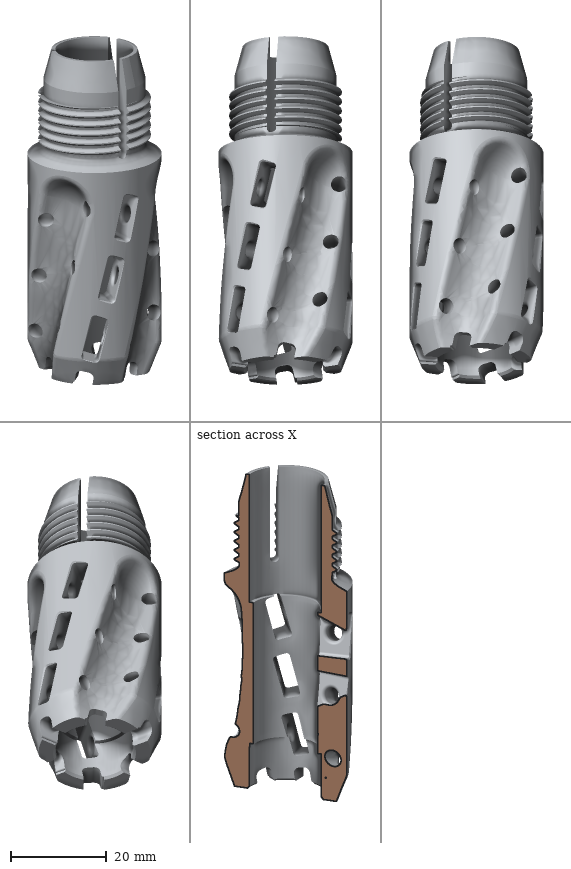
import cadquery as cq
import math

total_height = 69.71
nose_corner_z = 6.05
body_top_z = 47.0
neck_bottom_z = 49.0
shoulder_root_z = 48.4
cone_start_z = 63.4
upper_counterbore_z = 41.4
lower_counterbore_z = 10.0

body_radius = 14.0
nose_end_radius = 11.65
nose_round_radius = 2.0
shoulder_root_radius = 11.15
neck_radius = 10.67
tip_radius = 9.0
middle_bore_radius = 14.5 / 2
end_bore_radius = 16.3 / 2
bore_bottom_chamfer = 0.5

thread_pitch = 2.0
thread_outer_radius = 11.75
thread_bottom_z = 49.9
thread_top_z = 60.2
thread_crest_width = thread_pitch / 8
thread_crest_z = 55.9
thread_crest_angle = 180.0
thread_turns_below_crest = 4
thread_root_overlap = 0.1
thread_flank_slope = math.tan(math.radians(30))

slot_width = 2.0
slot_end_z = 49.6
slot_angle = 220.0

copies = 3
copy_step = 360.0 / copies
helix_angle = 15.0
twist_per_mm = math.degrees(math.tan(math.radians(helix_angle)) / body_radius)
land_angle_at_base = 175.85
gullet_angle_at_base = land_angle_at_base + copy_step / 2

gullet_ball_radius = 6.5
gullet_floor_radius = 9.8
gullet_end_z = 38.8
gullet_edge_round = 1.5

window_heights = (10.6, 23.6, 36.6)
window_width = 3.6
window_length = 9.7
window_corner_radius = 0.7
window_rim_flare = 0.3

cross_hole_diameter = 3.3
cross_hole_offset = 10.0
cross_hole_length = 20.0
cross_hole_rim_round = 0.8

notch_width = 3.8
notch_height = 3.25
notch_corner_radius = 1.3
notch_mouth_round = 0.4
notch_tilt = 12.0
notch_angle = 175.2

shoulder_direction = (-2, 1)

margin = 1.0
flat_edge_height = 0.3


def cut_copies(body, cutter, count=copies):
    """Cut evenly spaced copies of one solid, or of several, around Z."""
    turned = []
    for solid in cutter.vals():
        for i in range(count):
            turned.append(solid.rotate((0, 0, 0), (0, 0, 1), i * 360.0 / count))
    return body.newObject([body.val().cut(*turned)])


def land_angle(z):
    """Angle around Z of a land's middle at height z."""
    return land_angle_at_base + twist_per_mm * z


def outward_plane(angle, z, tilt):
    """Plane on the axis facing outward; local Y is Z leaned toward larger angles by tilt degrees."""
    a = math.radians(angle)
    t = math.radians(tilt)
    outward = (math.cos(a), math.sin(a), 0)
    sideways = (-math.sin(a) * math.cos(t), math.cos(a) * math.cos(t), -math.sin(t))
    return cq.Plane(origin=(0, 0, z), xDir=sideways, normal=outward)


def blank():
    """Solid of revolution with a swept shoulder and a rounded nose corner."""
    solid = (
        cq.Workplane("XZ")
        .moveTo(0, 0)
        .lineTo(nose_end_radius, 0)
        .lineTo(body_radius, nose_corner_z)
        .lineTo(body_radius, body_top_z)
        .spline(
            [
                (shoulder_root_radius, shoulder_root_z),
                (neck_radius, neck_bottom_z),
                (neck_radius, thread_bottom_z),
            ],
            tangents=[shoulder_direction, (0, 1)],
            includeCurrent=True,
        )
        .lineTo(neck_radius, cone_start_z)
        .lineTo(tip_radius, total_height)
        .lineTo(0, total_height)
        .close()
        .revolve(360, (0, 0, 0), (0, 1, 0))
    )
    nose_edge = cq.selectors.BoxSelector(
        (-body_radius * 2, -body_radius * 2, nose_corner_z - margin / 2),
        (body_radius * 2, body_radius * 2, nose_corner_z + margin / 2),
        boundingbox=True,
    )
    return solid.edges(nose_edge).fillet(nose_round_radius)


def gullet():
    """Ball-ended groove following the helix down past the bottom rim."""
    path_radius = gullet_floor_radius + gullet_ball_radius
    path_pitch = 360.0 / twist_per_mm
    start_z = -gullet_ball_radius
    path = cq.Wire.makeHelix(path_pitch, gullet_end_z - start_z, path_radius)
    climb = path_pitch / (2 * math.pi)
    start = cq.Plane(origin=(path_radius, 0, 0), xDir=(1, 0, 0), normal=(0, path_radius, climb))
    groove = cq.Workplane(start).circle(gullet_ball_radius).sweep(path, isFrenet=True)
    groove = groove.rotate((0, 0, 0), (0, 0, 1), gullet_angle_at_base + twist_per_mm * start_z)
    groove = groove.translate((0, 0, start_z))
    end_angle = gullet_angle_at_base + twist_per_mm * gullet_end_z
    ball = cq.Workplane(outward_plane(end_angle, gullet_end_z, helix_angle)).workplane(offset=path_radius)
    ball = ball.sphere(gullet_ball_radius)
    return groove, ball


def thread():
    """Helical ridge with its ends cut square to the axis."""
    start_z = thread_crest_z - thread_turns_below_crest * thread_pitch
    length = thread_top_z + thread_pitch - start_z
    root_radius = neck_radius - thread_root_overlap
    crest_half = thread_crest_width / 2
    root_half = crest_half + (thread_outer_radius - root_radius) * thread_flank_slope
    path = cq.Wire.makeHelix(thread_pitch, length, neck_radius)
    ridge = (
        cq.Workplane("XZ")
        .polyline(
            [
                (root_radius, -root_half),
                (thread_outer_radius, -crest_half),
                (thread_outer_radius, crest_half),
                (root_radius, root_half),
            ]
        )
        .close()
        .sweep(path, isFrenet=True)
    )
    ridge = ridge.rotate((0, 0, 0), (0, 0, 1), thread_crest_angle).translate((0, 0, start_z))
    span = cq.Workplane("XY", origin=(0, 0, thread_bottom_z)).circle(body_radius)
    return ridge.intersect(span.extrude(thread_top_z - thread_bottom_z))


def bore():
    """Stepped through bore, wider at both ends, with a chamfered bottom rim."""
    return (
        cq.Workplane("XZ")
        .moveTo(0, 0)
        .lineTo(end_bore_radius + bore_bottom_chamfer, 0)
        .lineTo(end_bore_radius, bore_bottom_chamfer)
        .lineTo(end_bore_radius, lower_counterbore_z)
        .lineTo(middle_bore_radius, lower_counterbore_z)
        .lineTo(middle_bore_radius, upper_counterbore_z)
        .lineTo(end_bore_radius, upper_counterbore_z)
        .lineTo(end_bore_radius, total_height)
        .lineTo(0, total_height)
        .close()
        .revolve(360, (0, 0, 0), (0, 1, 0))
    )


def neck_slot():
    """Radial slot, open at the top, with a round lower end."""
    half = slot_width / 2
    rise = total_height + margin - slot_end_z
    return (
        cq.Workplane(outward_plane(slot_angle, slot_end_z, 0))
        .moveTo(-half, rise)
        .lineTo(-half, 0)
        .threePointArc((0, -half), (half, 0))
        .lineTo(half, rise)
        .close()
        .extrude(body_radius)
    )


def window(z):
    """Rounded rectangular opening from the bore to the outside of a land, with a flared rim."""
    plane = outward_plane(land_angle(z), z, helix_angle)
    sketch = cq.Sketch().rect(window_width, window_length).vertices().fillet(window_corner_radius)
    opening = cq.Workplane(plane).placeSketch(sketch).extrude(body_radius)
    rim = cq.Workplane(plane).workplane(offset=body_radius - window_rim_flare)
    rim = rim.placeSketch(sketch).extrude(2 * window_rim_flare, taper=-45)
    return opening.union(rim)


def cross_hole(z):
    """Hole square to a window's long sides, opening into both gullets, with rounded rims in the window."""
    plane = outward_plane(land_angle(z), z, helix_angle)
    radius = cross_hole_diameter / 2
    wall = window_width / 2
    rim = cross_hole_rim_round
    rim_mid = rim * (1 - math.sqrt(0.5))
    half_length = cross_hole_length / 2
    return (
        cq.Workplane(plane)
        .workplane(offset=cross_hole_offset)
        .transformed(rotate=(90, 0, 0))
        .moveTo(-half_length, 0)
        .lineTo(-half_length, radius)
        .lineTo(-wall - rim, radius)
        .threePointArc((-wall - rim_mid, radius + rim_mid), (-wall, radius + rim))
        .lineTo(wall, radius + rim)
        .threePointArc((wall + rim_mid, radius + rim_mid), (wall + rim, radius))
        .lineTo(half_length, radius)
        .lineTo(half_length, 0)
        .close()
        .revolve(360, (0, 0, 0), (1, 0, 0))
    )


def notch():
    """Arched opening in the bottom rim with a rounded mouth."""
    half = notch_width / 2
    corner = notch_corner_radius
    mouth = notch_mouth_round
    corner_mid = corner * (1 - math.sqrt(0.5))
    mouth_mid = mouth * (1 - math.sqrt(0.5))
    return (
        cq.Workplane(outward_plane(notch_angle, 0, notch_tilt))
        .moveTo(-half - mouth, -margin)
        .lineTo(-half - mouth, 0)
        .threePointArc((-half - mouth_mid, mouth_mid), (-half, mouth))
        .lineTo(-half, notch_height - corner)
        .threePointArc((-half + corner_mid, notch_height - corner_mid), (-half + corner, notch_height))
        .lineTo(half - corner, notch_height)
        .threePointArc((half - corner_mid, notch_height - corner_mid), (half, notch_height - corner))
        .lineTo(half, mouth)
        .threePointArc((half + mouth_mid, mouth_mid), (half + mouth, 0))
        .lineTo(half + mouth, -margin)
        .close()
        .extrude(body_radius)
    )


def gullet_rims(body):
    """Edges where the gullets meet the outside of the body, down to the bottom face."""
    rims = []
    for edge in body.edges().vals():
        middle = edge.positionAt(0.5)
        box = edge.BoundingBox()
        climbs = box.zmax - box.zmin > flat_edge_height
        on_outside = math.hypot(middle.x, middle.y) > nose_end_radius
        if climbs and on_outside and box.zmax < body_top_z - margin:
            rims.append(edge)
    return body.newObject(rims)


groove, groove_end = gullet()
part = cut_copies(blank(), groove)
part = cut_copies(part, groove_end)
part = gullet_rims(part).fillet(gullet_edge_round)
part = part.cut(bore())

openings = cq.Workplane()
for height in window_heights:
    openings = openings.add(window(height)).add(cross_hole(height))
part = cut_copies(part, openings)

part = cut_copies(part, notch(), 2 * copies)

part = part.union(thread())
part = cut_copies(part, neck_slot())

result = part